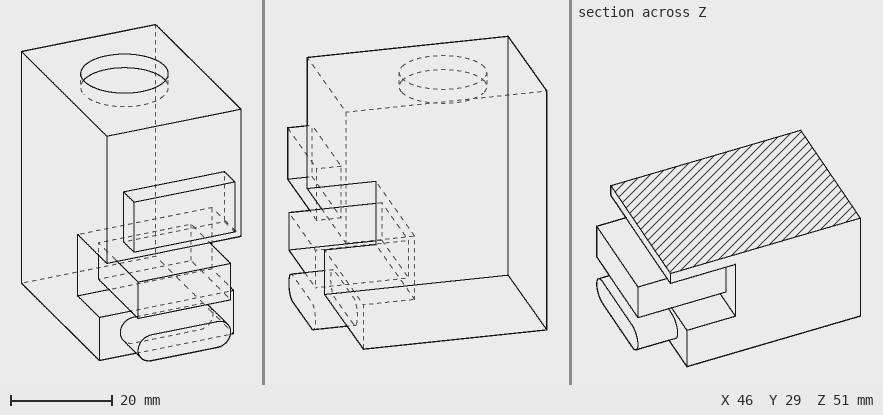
import cadquery as cq

block_length = 41.0
block_width = 29.0
block_height = 51.0
overall_length = 46.0

foot_length = 37.45
foot_height = 9.5
slot_floor_x = 27.0
slot_height = 13.5

tongue_width = 20.0
tongue_height = 8.0

pad_width = 21.75
pad_height = 11.0
pad_bottom_z = 27.0

bar_width = tongue_width
bar_height = 5.7
bar_center_z = 5.2

recess_diameter = 17.25
recess_depth = 3.0
recess_center_x = 17.25


def make_block():
    """Block profile with the side slot and the shorter foot."""
    slot_top_z = foot_height + slot_height
    return (
        cq.Workplane("XZ")
        .polyline(
            [
                (0, 0),
                (foot_length, 0),
                (foot_length, foot_height),
                (slot_floor_x, foot_height),
                (slot_floor_x, slot_top_z),
                (block_length, slot_top_z),
                (block_length, block_height),
                (0, block_height),
            ]
        )
        .close()
        .extrude(block_width / 2, both=True)
    )


def end_plane(start_x, center_z):
    """Plane facing +X, with local x along Y and local y along Z."""
    return cq.Workplane("YZ", origin=(start_x, 0, center_z))


def make_rectangular_bar(start_x, center_z, width, height):
    """Rectangular projection from start_x to the far end of the part."""
    return end_plane(start_x, center_z).rect(width, height).extrude(overall_length - start_x)


def make_round_ended_bar():
    """Bar with half-round sides, from the foot to the far end of the part."""
    return (
        end_plane(foot_length, bar_center_z)
        .slot2D(bar_width, bar_height)
        .extrude(overall_length - foot_length)
    )


def make_recess():
    """Cylinder removed from the top face."""
    return (
        cq.Workplane("XY", origin=(recess_center_x, 0, block_height))
        .circle(recess_diameter / 2)
        .extrude(-recess_depth)
    )


tongue_center_z = foot_height + slot_height / 2
pad_center_z = pad_bottom_z + pad_height / 2

tongue = make_rectangular_bar(slot_floor_x, tongue_center_z, tongue_width, tongue_height)
pad = make_rectangular_bar(block_length, pad_center_z, pad_width, pad_height)

result = make_block().union(tongue).union(pad).union(make_round_ended_bar()).cut(make_recess())